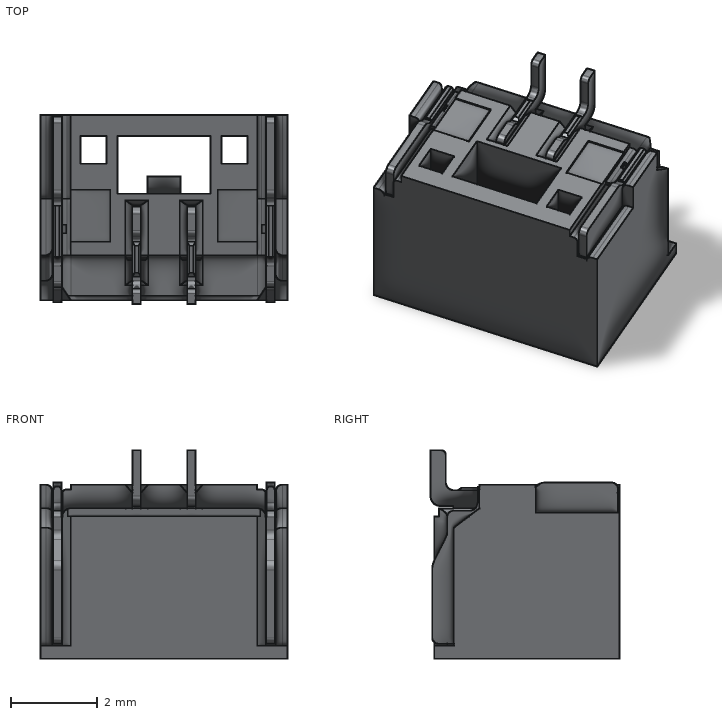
import cadquery as cq
import math


width = 5.75
depth = 4.31
housing_height = 4.05
base_thickness = 0.3
core_half_width = 2.365
crown_half_width = 2.165
ledge_height = 3.5
ledge_depth = 1.05
ledge_edge_radius = 0.2
lip_depth = 0.11
lip_height = 3.31
front_corner_length = 0.3

front_shoulder_height = 3.94
rear_shoulder_height = 3.855
shoulder_radius = 0.1
shoulder_notch_y = 1.655
shoulder_notch_size = 0.2
shoulder_notch_width = 0.095

wall_thickness = 0.275
wall_edge_radius = 0.15
wall_front = 0.455
wall_slope_top = 3.05
wall_step_y = 2.355
wall_rear_height = 3.4
groove_floor = 3.3
groove_back = 0.8

opening_rear = 3.815
window_half_width = 1.08
window_front = 2.48
tongue_width = 0.77
tongue_length = 0.4
vent_inner = 1.34
vent_width = 0.6
vent_length = 0.64
panel_inner = 1.255
panel_front = 1.36
panel_rear = 2.565
panel_recess = 0.03

pin_pitch = 1.27
pin_thickness = 0.2
pin_tip_y = -0.09
pin_top = 4.85
pin_arm_width = 0.36
pin_waist_height = 3.92
pin_hump_height = 4.04
pin_rear = 2.17
pin_underside = 3.55
pin_foot_front = 0.44
pin_root = 3.2
pin_hump_foot = 1.43
pin_ridge_front = 0.55
pin_ridge_rear = 1.36
pin_tip_radius = 0.11
pin_inner_radius = 0.19
pin_outer_radius = 0.24
pin_hump_radius = 0.18
pin_rear_radius = 0.16

pocket_width = 0.53
pocket_depth = 0.19
pocket_end_taper = 0.115
pocket_front = 0.35
pocket_rear = 2.325
pocket_round = 0.12

tab_thickness = 0.2
tab_center_x = 2.48
tab_front = -0.05
tab_rear = 4.265
tab_top = 4.1
tab_waist_height = 3.94
tab_bottom = 0.355
tab_waist_front = 1.007
tab_arm_height = 3.44
tab_arm_front = 0.302
tab_slope_top = 2.88
tab_slope_foot = 2.19
tab_rear_foot = 2.305
tab_ridge_rear = 2.2
tab_corner_radius = 0.14
tab_inner_radius = 0.2
tab_rise_radius = 0.24
tab_slope_radius = 0.48

ridge_height = 0.06
ridge_bevel = 0.052
ridge_end_bevel = 0.09

half_width = width / 2
wall_inner = half_width - wall_thickness


def box(x_range, y_range, z_range):
    """Axis-aligned block between the given limits."""
    (x0, x1), (y0, y1), (z0, z1) = x_range, y_range, z_range
    return cq.Workplane("XY").box(x1 - x0, y1 - y0, z1 - z0, centered=False).translate((x0, y0, z0))


def both_sides(solid):
    """The solid together with its mirror image across X = 0."""
    return solid.union(solid.mirror("YZ"))


def rounded_outline(plane, corners):
    """Closed outline through (u, v) or (u, v, radius) corners, with tangent arcs where a radius is given."""
    arcs = []
    for i, corner in enumerate(corners):
        u, v = corner[:2]
        radius = corner[2] if len(corner) > 2 else 0
        before = corners[i - 1]
        after = corners[(i + 1) % len(corners)]
        to_before = cq.Vector(before[0] - u, before[1] - v).normalized()
        to_after = cq.Vector(after[0] - u, after[1] - v).normalized()
        half_angle = to_before.getAngle(to_after) / 2
        tip = cq.Vector(u, v)
        tangent_length = radius / math.tan(half_angle)
        bisector = (to_before + to_after).normalized()
        middle = tip + bisector * (radius / math.sin(half_angle) - radius)
        arcs.append((tip + to_before * tangent_length, middle, tip + to_after * tangent_length, radius))

    first_corner_end = arcs[0][2]
    sketch = cq.Workplane(plane).moveTo(first_corner_end.x, first_corner_end.y)
    for start, middle, end, radius in arcs[1:] + arcs[:1]:
        sketch = sketch.lineTo(start.x, start.y)
        if radius:
            sketch = sketch.threePointArc((middle.x, middle.y), (end.x, end.y))
    return sketch.close()


def plate(corners, x_center, thickness):
    """Flat plate cut to a (y, z) outline, centred on x_center."""
    flat = rounded_outline("YZ", corners).extrude(thickness / 2, both=True)
    return flat.translate((x_center, 0, 0))


def cross_section(half_outline, y_range):
    """Block with a symmetric (x, z) section, from the right-hand half of its outline."""
    left_half = [(-corner[0],) + corner[1:] for corner in reversed(half_outline)]
    start, end = y_range
    section = rounded_outline("XZ", half_outline + left_half).extrude(start - end)
    return section.translate((0, start, 0))


def tapered_block(x_range, y_range, z_base, z_end, side_taper, front_taper, rear_taper):
    """Block that narrows from its base rectangle at z_base to a smaller one at z_end."""
    (x0, x1), (y0, y1) = x_range, y_range
    return (
        cq.Workplane("XY", origin=((x0 + x1) / 2, (y0 + y1) / 2, z_base))
        .rect(x1 - x0, y1 - y0)
        .workplane(offset=z_end - z_base)
        .center(0, (front_taper - rear_taper) / 2)
        .rect(x1 - x0 - 2 * side_taper, y1 - y0 - front_taper - rear_taper)
        .loft(ruled=True)
    )


def shouldered_section(shoulder_height):
    """Right half of the crown section: raised middle and a lower, rounded shoulder."""
    return [
        (core_half_width, 0),
        (core_half_width, shoulder_height, shoulder_radius),
        (crown_half_width, shoulder_height),
        (crown_half_width, housing_height),
    ]


def make_core():
    """Middle of the housing: rounded front ledge, crown with shoulders, cut front corners and front lip."""
    ledge_section = [(core_half_width, 0), (core_half_width, ledge_height, ledge_edge_radius)]
    core = cross_section(ledge_section, (0, ledge_depth))
    core = core.union(cross_section(shouldered_section(front_shoulder_height), (ledge_depth, wall_step_y)))
    core = core.union(cross_section(shouldered_section(rear_shoulder_height), (wall_step_y, depth)))

    corner_cut = (
        cq.Workplane("XY")
        .polyline([(crown_half_width, 0), (core_half_width, 0), (core_half_width, front_corner_length)])
        .close()
        .extrude(ledge_height)
    )
    core = core.cut(both_sides(corner_cut))

    core = core.cut(box((-half_width, half_width), (0, lip_depth), (lip_height, ledge_height)))

    notch_inner = core_half_width - shoulder_notch_width
    notch_front = shoulder_notch_y - shoulder_notch_size / 2
    notch = box(
        (notch_inner, core_half_width),
        (notch_front, notch_front + shoulder_notch_size),
        (front_shoulder_height - shoulder_radius, front_shoulder_height),
    )
    return core.cut(both_sides(notch))


def make_side_wall():
    """Right-hand wall: tall front panel with a sloped corner, lower rear panel, rounded inner edges."""
    front_panel = (
        cq.Workplane("YZ", origin=(wall_inner, 0, 0))
        .polyline(
            [
                (wall_step_y, 0),
                (wall_front, 0),
                (wall_front, wall_slope_top),
                (ledge_depth, ledge_height),
                (ledge_depth, housing_height),
                (wall_step_y, housing_height),
            ]
        )
        .close()
        .extrude(wall_thickness)
    )
    front_panel = front_panel.faces("<X").edges("not(<Z or >Y)").fillet(wall_edge_radius)
    rear_panel = box((wall_inner, half_width), (wall_step_y, depth), (0, wall_rear_height))
    rear_panel = rear_panel.faces("<X").edges(">Z").fillet(wall_edge_radius)
    return front_panel.union(rear_panel)


def make_housing():
    """Core, walls and base, with grooves between core and walls open at the top and the front."""
    housing = make_core().union(both_sides(make_side_wall()))
    housing = housing.union(box((-half_width, half_width), (0, depth), (0, base_thickness)))
    groove_fill = box((core_half_width, wall_inner), (groove_back, depth), (0, groove_floor))
    return housing.union(both_sides(groove_fill))


def cut_openings(housing):
    """Central window with a tongue at its foot, two square vents and two shallow panels."""
    window = box((-window_half_width, window_half_width), (window_front, opening_rear), (0, housing_height))
    tongue = box(
        (-tongue_width / 2, tongue_width / 2),
        (window_front, window_front + tongue_length),
        (0, base_thickness),
    )
    vent = box(
        (vent_inner, vent_inner + vent_width),
        (opening_rear - vent_length, opening_rear),
        (0, housing_height),
    )
    panel = box(
        (panel_inner, crown_half_width),
        (panel_front, panel_rear),
        (housing_height - panel_recess, housing_height),
    )
    return housing.cut(window.cut(tongue)).cut(both_sides(vent)).cut(both_sides(panel))


def make_pin_pocket(x_center):
    """Tapered cavity around one pin, in the crown and on down into the ledge."""
    x_range = (x_center - pocket_width / 2, x_center + pocket_width / 2)
    side_taper = (pocket_width - pin_thickness) / 2
    crown_pocket = tapered_block(
        x_range,
        (pocket_front, pocket_rear),
        housing_height,
        housing_height - pocket_depth,
        side_taper,
        0,
        pocket_end_taper,
    )
    ledge_pocket = tapered_block(
        x_range,
        (pocket_front, ledge_depth),
        ledge_height,
        ledge_height - pocket_depth,
        side_taper,
        pocket_end_taper,
        0,
    )
    round_bottom = ledge_height - pocket_round
    rolled_end = (
        cq.Workplane("YZ", origin=(x_range[0], 0, 0))
        .center(ledge_depth, round_bottom)
        .circle(pocket_round)
        .extrude(pocket_width)
    )
    rolled_end = rolled_end.union(
        box(x_range, (ledge_depth - pocket_round, ledge_depth), (ledge_height - pocket_depth, round_bottom))
    )
    return crown_pocket.union(ledge_pocket.cut(rolled_end))


def make_pin(x_center):
    """L-shaped pin: upright tip in front, bevelled waist, and a hump at the rear."""
    tip_rear = pin_tip_y + pin_arm_width
    hump_rise = pin_hump_height - pin_waist_height
    outline = [
        (pin_tip_y, pin_top),
        (tip_rear, pin_top, pin_tip_radius),
        (tip_rear, pin_waist_height, pin_inner_radius),
        (pin_hump_foot, pin_waist_height, pin_hump_radius),
        (pin_hump_foot + hump_rise, pin_hump_height, pin_hump_radius),
        (pin_rear, pin_hump_height, pin_rear_radius),
        (pin_rear, pin_root),
        (pin_foot_front, pin_root),
        (pin_foot_front, pin_underside),
        (pin_tip_y, pin_underside, pin_outer_radius),
    ]
    ridge = tapered_block(
        (x_center - pin_thickness / 2, x_center + pin_thickness / 2),
        (pin_ridge_front, pin_ridge_rear),
        pin_waist_height,
        pin_waist_height + ridge_height,
        ridge_bevel,
        ridge_end_bevel,
        ridge_end_bevel,
    )
    return plate(outline, x_center, pin_thickness).union(ridge)


def make_tab():
    """Right-hand side tab: raised rear, bevelled waist, and an arm sloping down the housing front."""
    rear_rise = tab_top - tab_waist_height
    outline = [
        (tab_rear, tab_bottom),
        (tab_rear, tab_top, tab_corner_radius),
        (tab_rear_foot + rear_rise, tab_top, tab_rise_radius),
        (tab_rear_foot, tab_waist_height, tab_rise_radius),
        (tab_waist_front, tab_waist_height),
        (tab_waist_front, tab_arm_height, tab_inner_radius),
        (tab_arm_front, tab_arm_height, tab_corner_radius),
        (tab_arm_front, tab_slope_top, tab_slope_radius),
        (tab_front, tab_slope_foot, tab_slope_radius),
        (tab_front, tab_bottom, tab_corner_radius),
    ]
    ridge = tapered_block(
        (tab_center_x - tab_thickness / 2, tab_center_x + tab_thickness / 2),
        (tab_waist_front, tab_ridge_rear),
        tab_waist_height,
        tab_waist_height + ridge_height,
        ridge_bevel,
        0,
        0,
    )
    return plate(outline, tab_center_x, tab_thickness).union(ridge)


result = cut_openings(make_housing())
for pin_x in (-pin_pitch / 2, pin_pitch / 2):
    result = result.cut(make_pin_pocket(pin_x)).union(make_pin(pin_x))
result = result.union(both_sides(make_tab()))